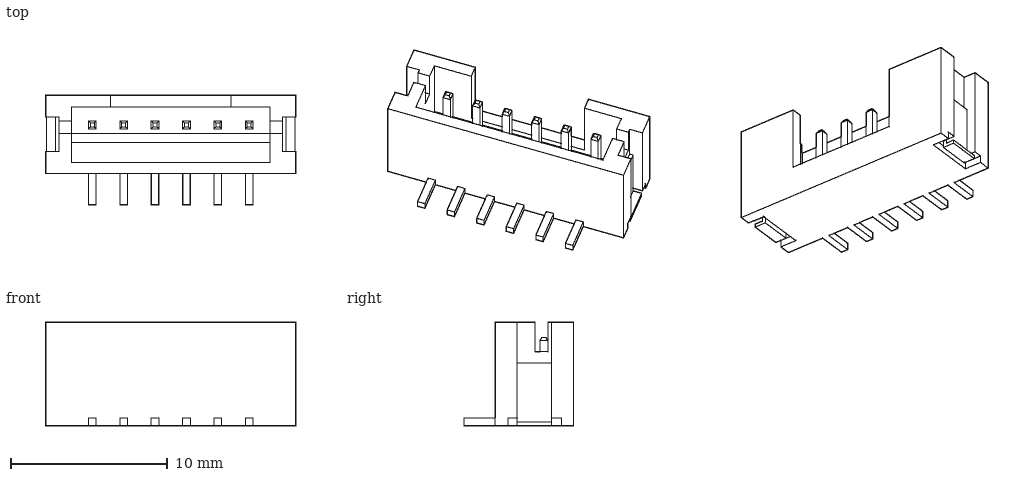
import cadquery as cq

LENGTH = 15.95
DEPTH = 5.0
HEIGHT = 6.6
HALF_LENGTH = LENGTH / 2

CAVITY_LENGTH = 12.65
CAVITY_FRONT = 0.72
CAVITY_BACK = 4.23
FLOOR_HIGH = 1.8
RAMP_TOP_Y = 2.55
RAMP_FOOT_Y = 1.97
FLOOR_LOW = FLOOR_HIGH - (RAMP_TOP_Y - RAMP_FOOT_Y)

WINDOW_LENGTH = 7.65
WINDOW_SILL = 2.2

KEY_FRONT = RAMP_TOP_Y
KEY_BACK = 3.35
KEY_BOTTOM = 4.72

RECESS_FRONT = 1.4
RECESS_BACK = DEPTH - RECESS_FRONT
RECESS_DEPTH = 0.865
RELIEF_FRONT = 0.82
RELIEF_BACK = 4.22
RELIEF_HEIGHT = 0.5
RELIEF_DEPTH = 1.2

TAB_THICKNESS = 0.24
TAB_HEIGHT = 4.0
TAB_SETBACK = 0.05

PIN_COUNT = 6
PIN_PITCH = 2.0
PIN_WIDTH = 0.5
PIN_CENTRE_Y = 3.1
PIN_TOP = 5.64
TIP_HEIGHT = 0.2
TIP_INSET = 0.12
TAIL_LENGTH = 2.0


def box(x_range, y_range, z_range):
    """Axis-aligned box given its (low, high) limits along each axis."""
    size = [high - low for low, high in (x_range, y_range, z_range)]
    corner = (x_range[0], y_range[0], z_range[0])
    return cq.Workplane("XY").box(*size, centered=False).translate(corner)


def centred(length):
    """Limits of a length centred on zero."""
    return (-length / 2, length / 2)


def make_cavity():
    """Cavity volume, whose floor ramps down towards the front wall."""
    profile = [
        (CAVITY_FRONT, HEIGHT),
        (CAVITY_FRONT, FLOOR_LOW),
        (RAMP_FOOT_Y, FLOOR_LOW),
        (RAMP_TOP_Y, FLOOR_HIGH),
        (CAVITY_BACK, FLOOR_HIGH),
        (CAVITY_BACK, HEIGHT),
    ]
    return cq.Workplane("YZ").polyline(profile).close().extrude(CAVITY_LENGTH / 2, both=True)


def cut_end(body):
    """Cut the recess and the tab relief into the +X end face."""
    recess_x = (HALF_LENGTH - RECESS_DEPTH, HALF_LENGTH)
    relief_x = (HALF_LENGTH - RELIEF_DEPTH, HALF_LENGTH)
    recess = box(recess_x, (RECESS_FRONT, RECESS_BACK), (0, HEIGHT))
    relief = box(relief_x, (RELIEF_FRONT, RELIEF_BACK), (0, RELIEF_HEIGHT))
    return body.cut(recess).cut(relief)


def make_housing():
    """Open-topped housing with a rear window, keying slots and end recesses."""
    body = box(centred(LENGTH), (0, DEPTH), (0, HEIGHT))
    body = body.cut(make_cavity())
    body = body.cut(box(centred(WINDOW_LENGTH), (CAVITY_BACK, DEPTH), (WINDOW_SILL, HEIGHT)))
    body = body.cut(box(centred(LENGTH), (KEY_FRONT, KEY_BACK), (KEY_BOTTOM, HEIGHT)))
    body = cut_end(body)
    return cut_end(body.mirror("YZ")).mirror("YZ")


def make_tab():
    """L-shaped solder tab for the +X end."""
    inner = HALF_LENGTH - RECESS_DEPTH
    across = (RECESS_FRONT, RECESS_BACK)
    plate = box((inner, inner + TAB_THICKNESS), across, (0, TAB_HEIGHT))
    foot = box((inner, HALF_LENGTH - TAB_SETBACK), across, (0, TAB_THICKNESS))
    return plate.union(foot)


def make_contact(x):
    """Right-angle contact centred on the given X, with a tapered pin tip."""
    across = (x - PIN_WIDTH / 2, x + PIN_WIDTH / 2)
    pin_front = PIN_CENTRE_Y - PIN_WIDTH / 2
    pin_back = PIN_CENTRE_Y + PIN_WIDTH / 2
    pin = box(across, (pin_front, pin_back), (0, PIN_TOP))
    pin = pin.faces(">Z").chamfer(TIP_HEIGHT, TIP_INSET)
    tail = box(across, (-TAIL_LENGTH, pin_back), (0, PIN_WIDTH))
    return pin.union(tail)


tab = make_tab()
result = make_housing().union(tab).union(tab.mirror("YZ"))
for index in range(PIN_COUNT):
    pin_x = (index - (PIN_COUNT - 1) / 2) * PIN_PITCH
    result = result.union(make_contact(pin_x))